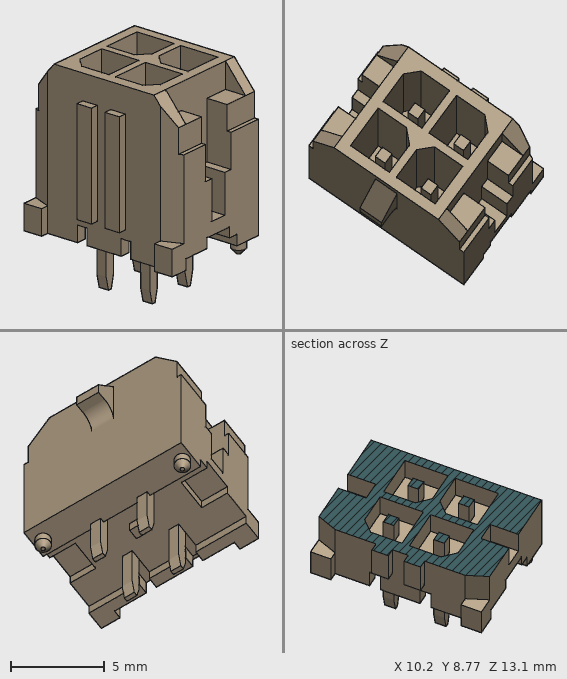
import cadquery as cq


OVERALL_HEIGHT = 13.09
HOUSING_WIDTH = 10.15
HOUSING_DEPTH = 6.83
HOUSING_HEIGHT = 9.91
CORE_WIDTH = 6.83
FRONT_WIDTH = 7.72
HALF_WIDTH = HOUSING_WIDTH / 2
BACK_Y = HOUSING_DEPTH / 2
FRONT_Y = -BACK_Y

LEDGE_Z = 6.73
LEDGE_WIDTH = 0.27
SHOULDER_Z = 8.26
SHOULDER_X = HALF_WIDTH - LEDGE_WIDTH
BACK_GUSSET_DEPTH = 0.76
FRONT_GUSSET_DEPTH = 1.0
CORNER_SETBACK = 0.5
UPPER_SLOT_WIDTH = 2.17
UPPER_SLOT_Z = 4.58
LOWER_SLOT_WIDTH = 1.11
LOWER_SLOT_Z = 2.11

FOOT_PROJECTION = 0.51
RIB_PROJECTION = 0.5
FOOT_HEIGHT = 1.6
RIB_WIDTH = 1.0
RIB_SPACING = 1.91
RIB_TOP_Z = 8.3

LATCH_WIDTH = 1.41
LATCH_REACH = 1.43
LATCH_TOP_Z = 9.35
LATCH_NOSE_TOP_Z = 7.71
LATCH_NOSE_BOTTOM_Z = 6.95
LATCH_UNDERSIDE_Z = 7.0
LATCH_FILLET = 0.8

PITCH = 3.0
SOCKET_WIDTH = 2.54
SOCKET_CORNER_CUT = 0.68
SOCKET_FLOOR_Z = LOWER_SLOT_Z
PIN_ROW_OFFSET = 0.046
PIN_WIDTH = 0.64
PIN_TOP_Z = 6.81
PIN_TAPER_Z = -2.34
PIN_TIP_Z = HOUSING_HEIGHT - OVERALL_HEIGHT
PIN_TIP_WIDTH = 0.25

CHANNEL_BACK_Y = 1.58
CHANNEL_FRONT_Y = -2.75
CHANNEL_HEIGHT = 0.67
SIDE_NOTCH_WIDTH = 1.92
SIDE_NOTCH_HEIGHT = 1.3
PIN_NOTCH_HEIGHT = 1.02

PEG_X = 4.49
PEG_Y = 2.45
PEG_RADIUS = 0.45
PEG_TIP_RADIUS = 0.12
PEG_SHANK_LENGTH = 0.51
PEG_LENGTH = 0.86


def block(x_range, y_range, z_range):
    """Box spanning the given (low, high) range on each axis."""
    size = [high - low for low, high in (x_range, y_range, z_range)]
    corner = (x_range[0], y_range[0], z_range[0])
    return cq.Workplane("XY").box(*size, centered=False).translate(corner)


def centred(width, middle=0.0):
    """Range of the given width about a middle position."""
    return (middle - width / 2, middle + width / 2)


def both_sides(shape):
    """The shape together with its mirror image across X = 0."""
    return shape.union(shape.mirror("YZ"))


def extrude_along_y(points, back_y, front_y):
    """Closed XZ outline extruded from back_y forward to front_y."""
    return cq.Workplane("XZ", origin=(0, back_y, 0)).polyline(points).close().extrude(back_y - front_y)


def make_wing():
    """Stepped wing on the +X side of the core, with its gussets and front corner bevel."""
    core_x = CORE_WIDTH / 2
    wing = block((0, HALF_WIDTH), (FRONT_Y, BACK_Y), (0, LEDGE_Z))
    wing = wing.union(block((0, SHOULDER_X), (FRONT_Y, BACK_Y), (0, SHOULDER_Z)))
    gusset = [(core_x, SHOULDER_Z), (SHOULDER_X, SHOULDER_Z), (core_x, HOUSING_HEIGHT)]
    wing = wing.union(extrude_along_y(gusset, BACK_Y, BACK_Y - BACK_GUSSET_DEPTH))
    wing = wing.union(extrude_along_y(gusset, FRONT_Y + FRONT_GUSSET_DEPTH, FRONT_Y))

    corner = [
        (FRONT_WIDTH / 2, FRONT_Y),
        (HALF_WIDTH, FRONT_Y + CORNER_SETBACK),
        (HALF_WIDTH, FRONT_Y),
    ]
    bevel = cq.Workplane("XY").polyline(corner).close().extrude(HOUSING_HEIGHT)
    wing = wing.cut(bevel)

    slot_x = (core_x, HALF_WIDTH)
    wing = wing.cut(block(slot_x, centred(UPPER_SLOT_WIDTH), (UPPER_SLOT_Z, SHOULDER_Z)))
    return wing.cut(block(slot_x, centred(LOWER_SLOT_WIDTH), (LOWER_SLOT_Z, UPPER_SLOT_Z)))


def make_foot():
    """Front foot at the +X corner."""
    foot_y = (FRONT_Y - FOOT_PROJECTION, FRONT_Y + CORNER_SETBACK)
    return block((FRONT_WIDTH / 2, HALF_WIDTH), foot_y, (0, FOOT_HEIGHT))


def make_rib():
    """Polarizing rib on the +X half of the front wall."""
    rib_y = (FRONT_Y - RIB_PROJECTION, FRONT_Y)
    return block(centred(RIB_WIDTH, RIB_SPACING / 2), rib_y, (FOOT_HEIGHT, RIB_TOP_Z))


def make_latch():
    """Ramped catch on the back wall with a filleted underside."""
    nose_y = BACK_Y + LATCH_REACH
    arc_start = (BACK_Y + LATCH_FILLET, LATCH_UNDERSIDE_Z)
    arc_end = (BACK_Y, LATCH_UNDERSIDE_Z - LATCH_FILLET)
    return (
        cq.Workplane("YZ", origin=(-LATCH_WIDTH / 2, 0, 0))
        .moveTo(BACK_Y, LATCH_TOP_Z)
        .lineTo(nose_y, LATCH_NOSE_TOP_Z)
        .lineTo(nose_y, LATCH_NOSE_BOTTOM_Z)
        .lineTo(*arc_start)
        .radiusArc(arc_end, -LATCH_FILLET)
        .close()
        .extrude(LATCH_WIDTH)
    )


def make_peg():
    """Cone-tipped locating peg under the +X wing."""
    profile = [
        (0, 0),
        (PEG_RADIUS, 0),
        (PEG_RADIUS, -PEG_SHANK_LENGTH),
        (PEG_TIP_RADIUS, -PEG_LENGTH),
        (0, -PEG_LENGTH),
    ]
    peg = cq.Workplane("XZ").polyline(profile).close().revolve(360, (0, 0, 0), (0, 1, 0))
    return peg.translate((PEG_X, PEG_Y, 0))


def make_socket(column, row):
    """Socket cavity with one corner cut; column and row are -1 or +1."""
    x = column * PITCH / 2
    y = row * PITCH / 2 + PIN_ROW_OFFSET
    socket = block(centred(SOCKET_WIDTH, x), centred(SOCKET_WIDTH, y), (SOCKET_FLOOR_Z, HOUSING_HEIGHT))
    cut_side = "<X" if column * row > 0 else ">X"
    return socket.edges("|Z").edges("<Y").edges(cut_side).chamfer(SOCKET_CORNER_CUT)


def make_pin(column, row):
    """Square contact pin whose lower end tapers in Y."""
    half = PIN_WIDTH / 2
    half_tip = PIN_TIP_WIDTH / 2
    outline = [
        (-half, PIN_TOP_Z),
        (half, PIN_TOP_Z),
        (half, PIN_TAPER_Z),
        (half_tip, PIN_TIP_Z),
        (-half_tip, PIN_TIP_Z),
        (-half, PIN_TAPER_Z),
    ]
    pin = cq.Workplane("YZ", origin=(-half, 0, 0)).polyline(outline).close().extrude(PIN_WIDTH)
    return pin.translate((column * PITCH / 2, row * PITCH / 2 + PIN_ROW_OFFSET, 0))


core = block(centred(CORE_WIDTH), (FRONT_Y, BACK_Y), (0, HOUSING_HEIGHT))
result = core.union(both_sides(make_wing()))
result = result.union(both_sides(make_foot()))
result = result.union(both_sides(make_rib()))
result = result.union(make_latch())

channel_y = (CHANNEL_FRONT_Y, CHANNEL_BACK_Y)
result = result.cut(block(centred(HOUSING_WIDTH), channel_y, (0, CHANNEL_HEIGHT)))
side_notch = block((CORE_WIDTH / 2, HALF_WIDTH), centred(SIDE_NOTCH_WIDTH), (0, SIDE_NOTCH_HEIGHT))
result = result.cut(both_sides(side_notch))
post = block(centred(PIN_WIDTH), centred(PIN_WIDTH, PIN_ROW_OFFSET), (0, CHANNEL_HEIGHT))
result = result.union(post)

pin_notch_y = (FRONT_Y, PIN_ROW_OFFSET - PITCH / 2)
pin_notch = block(centred(PIN_WIDTH, PITCH / 2), pin_notch_y, (0, PIN_NOTCH_HEIGHT))
result = result.cut(both_sides(pin_notch))

result = result.union(both_sides(make_peg()))
for column in (-1, 1):
    for row in (-1, 1):
        result = result.cut(make_socket(column, row))
        result = result.union(make_pin(column, row))